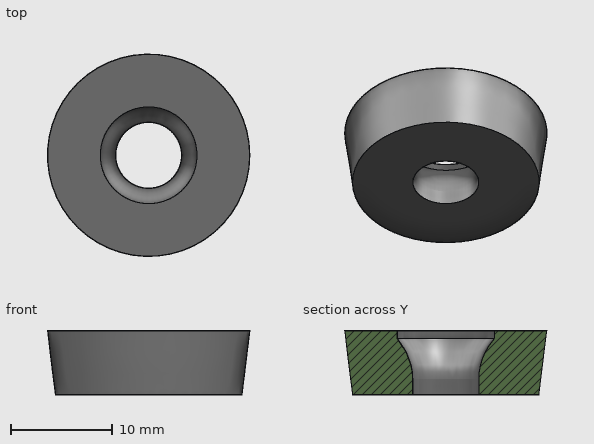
import cadquery as cq
import math

top_radius = 10.0
height = 6.35
relief_angle = 7.0
bottom_radius = top_radius - height * math.tan(math.radians(relief_angle))

bore_radius = 6.5 / 2
mouth_radius = 4.78
mouth_depth = 0.75
bevel_width = 0.1
bevel_depth = 0.18
seat_depth = 3.85

mouth_floor_z = height - mouth_depth
seat_top_z = mouth_floor_z - bevel_depth
seat_bottom_z = seat_top_z - seat_depth
seat_radius = mouth_radius - bevel_width

seat_width = seat_radius - bore_radius
arc_radius = (seat_width**2 + seat_depth**2) / (2 * seat_width)
half_sweep = math.atan2(seat_width, seat_depth)
seat_middle = (
    bore_radius + arc_radius * (1 - math.cos(half_sweep)),
    seat_bottom_z + arc_radius * math.sin(half_sweep),
)

section = (
    cq.Workplane("XZ")
    .moveTo(bore_radius, 0)
    .lineTo(bottom_radius, 0)
    .lineTo(top_radius, height)
    .lineTo(mouth_radius, height)
    .lineTo(mouth_radius, mouth_floor_z)
    .lineTo(seat_radius, seat_top_z)
    .threePointArc(seat_middle, (bore_radius, seat_bottom_z))
    .close()
)
result = section.revolve(360, (0, 0, 0), (0, 1, 0))